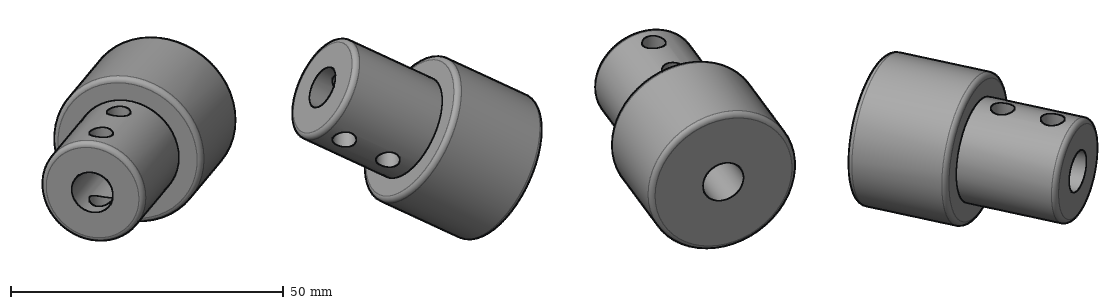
import cadquery as cq

head_diameter = 29.0
head_length = 20.0
shank_diameter = 20.0
shank_length = 20.0
bore_diameter = 8.0
edge_radius = 1.0

cross_hole_diameter = 4.4
cross_hole_spacing = shank_length / 2
first_hole_offset = cross_hole_spacing / 2
cross_hole_count = 2


def cylinder_along_y(diameter, start_y, length):
    """Solid cylinder on the Y axis, running from start_y toward +Y."""
    base = cq.Workplane("XZ", origin=(0, start_y, 0))
    return base.circle(diameter / 2).extrude(-length)


head = cylinder_along_y(head_diameter, 0, head_length).edges().fillet(edge_radius)

shank = cylinder_along_y(shank_diameter, -shank_length, shank_length)
shank = shank.faces("<Y").edges().fillet(edge_radius)

bore = cylinder_along_y(bore_diameter, -shank_length, shank_length + head_length)

result = head.union(shank).cut(bore)

for index in range(cross_hole_count):
    hole_y = -(first_hole_offset + index * cross_hole_spacing)
    cross_hole = (
        cq.Workplane("XY")
        .center(0, hole_y)
        .circle(cross_hole_diameter / 2)
        .extrude(shank_diameter / 2, both=True)
    )
    result = result.cut(cross_hole)